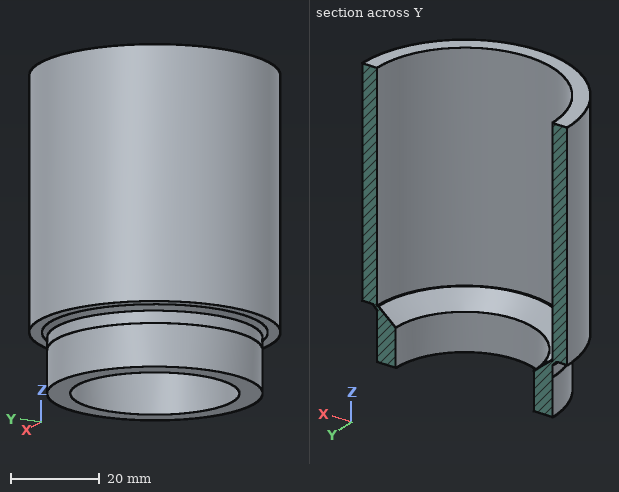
import cadquery as cq
import math

total_height = 73.9
body_bottom = 14.2
neck_bottom = 10.1

body_diameter = 56.6
collar_diameter = 50.85
neck_diameter = 48.5
spigot_diameter = 48.6

collar_bottom = body_bottom - (collar_diameter - neck_diameter) / 2

socket_diameter = 48.35
seat_diameter = 47.7
bore_diameter = 38.1

seat_slope = 40.0
seat_top = body_bottom
seat_depth = (seat_diameter - bore_diameter) / 2 * math.tan(math.radians(seat_slope))
seat_bottom = seat_top - seat_depth


def profile_point(diameter, height):
    """Point of the half section in the XZ plane."""
    return (diameter / 2, height)


half_section = [
    profile_point(bore_diameter, 0),
    profile_point(spigot_diameter, 0),
    profile_point(spigot_diameter, neck_bottom),
    profile_point(neck_diameter, neck_bottom),
    profile_point(neck_diameter, collar_bottom),
    profile_point(collar_diameter, body_bottom),
    profile_point(body_diameter, body_bottom),
    profile_point(body_diameter, total_height),
    profile_point(socket_diameter, total_height),
    profile_point(socket_diameter, seat_top),
    profile_point(seat_diameter, seat_top),
    profile_point(bore_diameter, seat_bottom),
]

result = (
    cq.Workplane("XZ")
    .polyline(half_section)
    .close()
    .revolve(360, (0, 0, 0), (0, 1, 0))
)